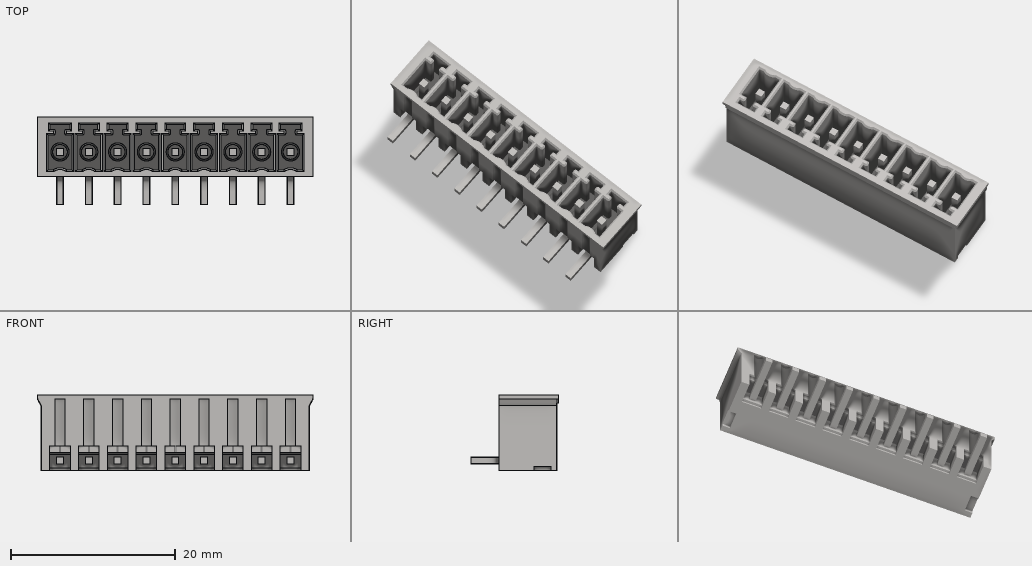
import cadquery as cq
import math


WAYS = 9
PITCH = 3.5
HEIGHT = 9.2
BODY_WIDTH = 32.6
BODY_DEPTH = 7.05

RIM_WIDTH = 33.5
RIM_HEIGHT = 0.5
RIM_TAPER_HEIGHT = 0.8
BACK_RIM_OVERHANG = 0.2
BACK_RIM_HEIGHT = 1.0

POCKET_FLOOR_Z = 3.0
POCKET_WIDTH = 2.9
POCKET_FRONT_Y = 0.82
SHOULDER_Y = 5.05
NECK_WIDTH = 1.15
KEY_FRONT_Y = 5.75
KEY_BACK_Y = 6.32
KEY_WIDTH = 2.15
END_KEY_WIDTH = 2.4
POCKET_CHAMFER = 0.2
KEY_TAB_FILLET = 0.22

PIN_SIZE = 0.84
PIN_Y = 3.0
PIN_TOP_Z = 7.8
PIN_TAIL_Z = 1.23
PIN_TAIL_LENGTH = 3.4

COLLAR_TOP_DIAMETER = 1.8
COLLAR_BASE_DIAMETER = 2.2
COLLAR_HEIGHT = (COLLAR_BASE_DIAMETER - COLLAR_TOP_DIAMETER) / 2

SLOT_WIDTH = 2.5
SLOT_HEIGHT = 3.0
RECESS_DEPTH = 0.35
CAVITY_HEIGHT = 2.2
CAVITY_DEPTH = 2.2
CAVITY_SLOPE_HEIGHT = 0.25
CAVITY_SLOPE_DEPTH = 0.13
FOOT_RELIEF_HEIGHT = 0.3
FOOT_RELIEF_DEPTH = 0.3

GROOVE_TOP_Z = 8.7
GROOVE_WIDTH = 1.25
GROOVE_BITE = 0.003
GROOVE_DEPTH = RECESS_DEPTH + GROOVE_BITE
GROOVE_RADIUS = (GROOVE_WIDTH**2 / 4 + GROOVE_DEPTH**2) / (2 * GROOVE_DEPTH)
GROOVE_CENTRE_Y = GROOVE_DEPTH - GROOVE_RADIUS
RIB_WALL = 0.72
RIB_RADIUS = GROOVE_RADIUS + RIB_WALL

NOTCH_FRONT_Y = 4.25
NOTCH_BACK_Y = 6.35
NOTCH_HEIGHT = 0.5
NOTCH_DEPTH = 1.0

WAY_CENTRES = [(way - (WAYS - 1) / 2) * PITCH for way in range(WAYS)]


def box(x_min, x_max, y_min, y_max, z_min, z_max):
    size = (x_max - x_min, y_max - y_min, z_max - z_min)
    return cq.Workplane("XY").box(*size, centered=False).translate((x_min, y_min, z_min))


def centred_box(width, y_min, y_max, z_min, z_max):
    return box(-width / 2, width / 2, y_min, y_max, z_min, z_max)


def upright_cylinder(radius, y, z_min, z_max):
    return cq.Workplane("XY", origin=(0, y, z_min)).circle(radius).extrude(z_max - z_min)


def make_housing():
    """Solid block with the tapered end rims and the overhanging back rim."""
    rim_z = HEIGHT - RIM_HEIGHT
    taper_z = rim_z - RIM_TAPER_HEIGHT
    body = (
        cq.Workplane("XZ")
        .moveTo(-BODY_WIDTH / 2, 0)
        .lineTo(BODY_WIDTH / 2, 0)
        .lineTo(BODY_WIDTH / 2, taper_z)
        .lineTo(RIM_WIDTH / 2, rim_z)
        .lineTo(RIM_WIDTH / 2, HEIGHT)
        .lineTo(-RIM_WIDTH / 2, HEIGHT)
        .lineTo(-RIM_WIDTH / 2, rim_z)
        .lineTo(-BODY_WIDTH / 2, taper_z)
        .close()
        .extrude(-BODY_DEPTH)
    )
    rim_back_y = BODY_DEPTH + BACK_RIM_OVERHANG
    top_rim = centred_box(RIM_WIDTH, BODY_DEPTH, rim_back_y, rim_z, HEIGHT)
    back_rim = centred_box(BODY_WIDTH, BODY_DEPTH, rim_back_y, HEIGHT - BACK_RIM_HEIGHT, HEIGHT)
    return body.union(top_rim).union(back_rim)


def pocket_outline(key_width):
    """T-shaped outline whose front edge bulges inward over the groove."""
    half_pocket = POCKET_WIDTH / 2
    half_neck = NECK_WIDTH / 2
    half_key = key_width / 2
    rib_tip_y = GROOVE_CENTRE_Y + RIB_RADIUS
    half_rib = math.sqrt(RIB_RADIUS**2 - (POCKET_FRONT_Y - GROOVE_CENTRE_Y) ** 2)
    return (
        cq.Workplane("XY", origin=(0, 0, POCKET_FLOOR_Z))
        .moveTo(-half_pocket, POCKET_FRONT_Y)
        .lineTo(-half_rib, POCKET_FRONT_Y)
        .threePointArc((0, rib_tip_y), (half_rib, POCKET_FRONT_Y))
        .lineTo(half_pocket, POCKET_FRONT_Y)
        .lineTo(half_pocket, SHOULDER_Y)
        .lineTo(half_neck, SHOULDER_Y)
        .lineTo(half_neck, KEY_FRONT_Y)
        .lineTo(half_key, KEY_FRONT_Y)
        .lineTo(half_key, KEY_BACK_Y)
        .lineTo(-half_key, KEY_BACK_Y)
        .lineTo(-half_key, KEY_FRONT_Y)
        .lineTo(-half_neck, KEY_FRONT_Y)
        .lineTo(-half_neck, SHOULDER_Y)
        .lineTo(-half_pocket, SHOULDER_Y)
        .close()
    )


def make_pocket(key_width):
    """Pocket for one mating plug contact, with a chamfered mouth."""
    shaft = pocket_outline(key_width).extrude(HEIGHT - POCKET_FLOOR_Z)
    tab_x = NECK_WIDTH / 2
    tab_corners = [(x, y) for x in (-tab_x, tab_x) for y in (SHOULDER_Y, KEY_FRONT_Y)]
    for x, y in tab_corners:
        corner = cq.selectors.NearestToPointSelector((x, y, (POCKET_FLOOR_Z + HEIGHT) / 2))
        shaft = shaft.edges("|Z").edges(corner).fillet(KEY_TAB_FILLET)
    surround = centred_box(PITCH, 0, BODY_DEPTH, POCKET_FLOOR_Z, HEIGHT)
    wall = surround.cut(shaft)
    rim_edges = wall.faces(">Z").wires(cq.selectors.AreaNthSelector(0)).edges()
    return surround.cut(rim_edges.chamfer(POCKET_CHAMFER))


def make_groove():
    return upright_cylinder(GROOVE_RADIUS, GROOVE_CENTRE_Y, CAVITY_HEIGHT, GROOVE_TOP_Z)


def make_slot():
    """Slot cutter: shallow front recess, deeper cavity with a sloped top and relief at the foot."""
    slope_foot_z = CAVITY_HEIGHT - CAVITY_SLOPE_HEIGHT
    slope_top_y = CAVITY_DEPTH - CAVITY_SLOPE_DEPTH
    relief_back_y = CAVITY_DEPTH + FOOT_RELIEF_DEPTH
    return (
        cq.Workplane("YZ", origin=(-SLOT_WIDTH / 2, 0, 0))
        .moveTo(0, 0)
        .lineTo(0, SLOT_HEIGHT)
        .lineTo(RECESS_DEPTH, SLOT_HEIGHT)
        .lineTo(RECESS_DEPTH, CAVITY_HEIGHT)
        .lineTo(slope_top_y, CAVITY_HEIGHT)
        .lineTo(CAVITY_DEPTH, slope_foot_z)
        .lineTo(CAVITY_DEPTH, FOOT_RELIEF_HEIGHT)
        .lineTo(relief_back_y, FOOT_RELIEF_HEIGHT)
        .lineTo(relief_back_y, 0)
        .close()
        .extrude(SLOT_WIDTH)
    )


def make_collar():
    return (
        cq.Workplane("XY", origin=(0, PIN_Y, POCKET_FLOOR_Z))
        .circle(COLLAR_BASE_DIAMETER / 2)
        .workplane(offset=COLLAR_HEIGHT)
        .circle(COLLAR_TOP_DIAMETER / 2)
        .loft()
    )


def make_pin():
    """Square pin: a post standing in the pocket and a tail leaving through the front."""
    half = PIN_SIZE / 2
    post = centred_box(PIN_SIZE, PIN_Y - half, PIN_Y + half, PIN_TAIL_Z - half, PIN_TOP_Z)
    tail = centred_box(
        PIN_SIZE, -PIN_TAIL_LENGTH, PIN_Y + half, PIN_TAIL_Z - half, PIN_TAIL_Z + half
    )
    return post.union(tail)


def make_end_notch(side):
    """Notch in one end wall; side is -1 for the left end and +1 for the right."""
    outer_x = side * BODY_WIDTH / 2
    inner_x = outer_x - side * NOTCH_DEPTH
    x_min = min(outer_x, inner_x)
    x_max = max(outer_x, inner_x)
    return box(x_min, x_max, NOTCH_FRONT_Y, NOTCH_BACK_Y, 0, NOTCH_HEIGHT)


def make_header():
    pocket = make_pocket(KEY_WIDTH)
    end_pocket = make_pocket(END_KEY_WIDTH)
    groove = make_groove()
    slot = make_slot()
    collar = make_collar()
    pin = make_pin()
    end_centres = (WAY_CENTRES[0], WAY_CENTRES[-1])
    header = make_housing()
    for side in (-1, 1):
        header = header.cut(make_end_notch(side))
    for x in WAY_CENTRES:
        way_pocket = end_pocket if x in end_centres else pocket
        for opening in (way_pocket, groove, slot):
            header = header.cut(opening.translate((x, 0, 0)))
        for addition in (collar, pin):
            header = header.union(addition.translate((x, 0, 0)))
    return header


result = make_header()